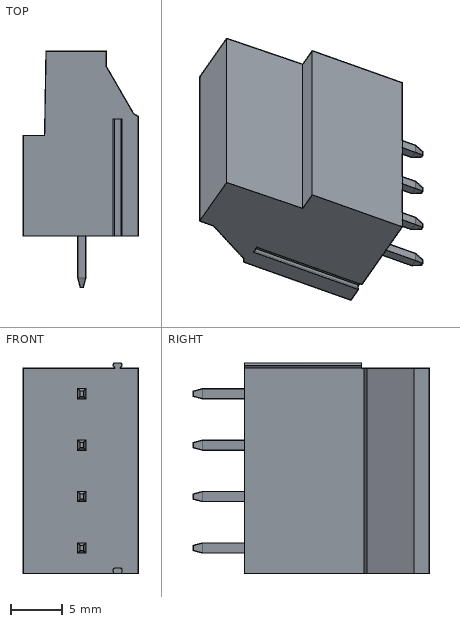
import cadquery as cq
import math

pole_count = 4
pole_pitch = 5.0
body_width = 11.2
body_depth = 18.0
body_height = pole_count * pole_pitch

step_depth = 9.8
step_width = 2.07
neck_left = 2.21
neck_right = 8.1
slope_start_depth = 16.5
slope_angle = 60.0
slope_end_x = 10.75

dovetail_x = 9.18
dovetail_length = 11.4
dovetail_width = 0.9
dovetail_crown_inset = 0.13
dovetail_shoulder = 0.25
rib_height = 0.5
rib_neck_width = 0.52
groove_depth = 0.55
groove_mouth_width = 0.75

pin_x = 5.7
pin_width = 0.8
pin_height = 1.0
pin_length = 5.0
pin_tip_length = 0.93
pin_tip_width = 0.3
pin_tip_height = 0.5


def make_housing():
    """Constant plan outline extruded over the full height."""
    slope_tangent = math.tan(math.radians(slope_angle))
    slope_end_depth = slope_start_depth - (slope_end_x - neck_right) * slope_tangent
    shoulder_depth = slope_end_depth - (body_width - slope_end_x) / slope_tangent
    outline = [
        (0, 0),
        (body_width, 0),
        (body_width, shoulder_depth),
        (slope_end_x, slope_end_depth),
        (neck_right, slope_start_depth),
        (neck_right, body_depth),
        (neck_left, body_depth),
        (step_width, step_depth),
        (0, step_depth),
    ]
    return cq.Workplane("XY").polyline(outline).close().extrude(body_height)


def make_dovetail(base_z, height, base_width):
    """Dovetail bar running back from the front face, its narrow base at base_z."""
    half_width = dovetail_width / 2
    half_crown = half_width - dovetail_crown_inset
    shoulder_z = height - dovetail_shoulder
    radius = (dovetail_shoulder**2 + dovetail_crown_inset**2) / (2 * dovetail_crown_inset)
    half_sweep = math.asin(dovetail_shoulder / radius) / 2
    arc_x = half_width - radius * (1 - math.cos(half_sweep))
    arc_z = shoulder_z + radius * math.sin(half_sweep)
    return (
        cq.Workplane("XZ", origin=(dovetail_x, 0, base_z))
        .moveTo(base_width / 2, 0)
        .lineTo(half_width, shoulder_z)
        .threePointArc((arc_x, arc_z), (half_crown, height))
        .lineTo(-half_crown, height)
        .threePointArc((-arc_x, arc_z), (-half_width, shoulder_z))
        .lineTo(-base_width / 2, 0)
        .close()
        .extrude(-dovetail_length)
    )


def make_pin(center_z):
    """Rectangular pin standing out of the front face, with a tapered tip."""
    shank_length = pin_length - pin_tip_length
    shank = (
        cq.Workplane("XZ", origin=(pin_x, 0, center_z))
        .rect(pin_width, pin_height)
        .extrude(shank_length)
    )
    tip = (
        cq.Workplane("XZ", origin=(pin_x, -shank_length, center_z))
        .rect(pin_width, pin_height)
        .workplane(offset=pin_tip_length)
        .rect(pin_tip_width, pin_tip_height)
        .loft(ruled=True)
    )
    return shank.union(tip)


result = make_housing()
result = result.union(make_dovetail(body_height, rib_height, rib_neck_width))
result = result.cut(make_dovetail(0, groove_depth, groove_mouth_width))
for pole in range(pole_count):
    result = result.union(make_pin((pole + 0.5) * pole_pitch))